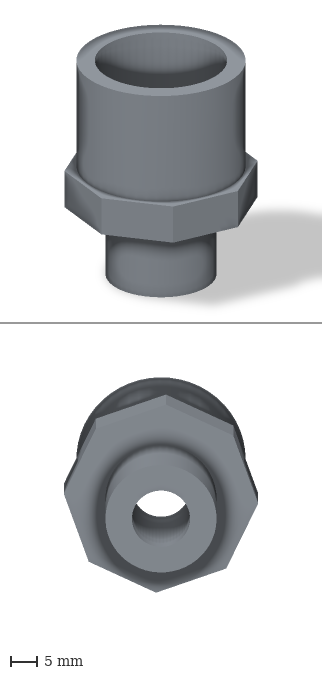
import cadquery as cq
import math

total_height = 44.5
spigot_length = 15.0
collar_height = 7.5
socket_length = total_height - spigot_length - collar_height

spigot_diameter = 21.0
socket_outer_diameter = 32.0
socket_bore_diameter = 25.0
through_bore_diameter = 11.0
collar_across_flats = 34.0
collar_sides = 8

socket_bore_depth = socket_length


def cylinder(diameter, bottom, height):
    """Vertical cylinder on the part axis."""
    return cq.Workplane("XY").workplane(offset=bottom).circle(diameter / 2).extrude(height)


def octagonal_collar():
    """Regular octagon with flats facing the X and Y axes."""
    half_side_angle = 180 / collar_sides
    across_corners = collar_across_flats / math.cos(math.radians(half_side_angle))
    return (
        cq.Workplane("XY")
        .workplane(offset=spigot_length)
        .transformed(rotate=(0, 0, half_side_angle))
        .polygon(collar_sides, across_corners)
        .extrude(collar_height)
    )


spigot = cylinder(spigot_diameter, 0, spigot_length)
socket = cylinder(socket_outer_diameter, spigot_length + collar_height, socket_length)
socket_bore = cylinder(socket_bore_diameter, total_height - socket_bore_depth, socket_bore_depth)
through_bore = cylinder(through_bore_diameter, 0, total_height)

body = spigot.union(octagonal_collar()).union(socket)
result = body.cut(socket_bore).cut(through_bore)